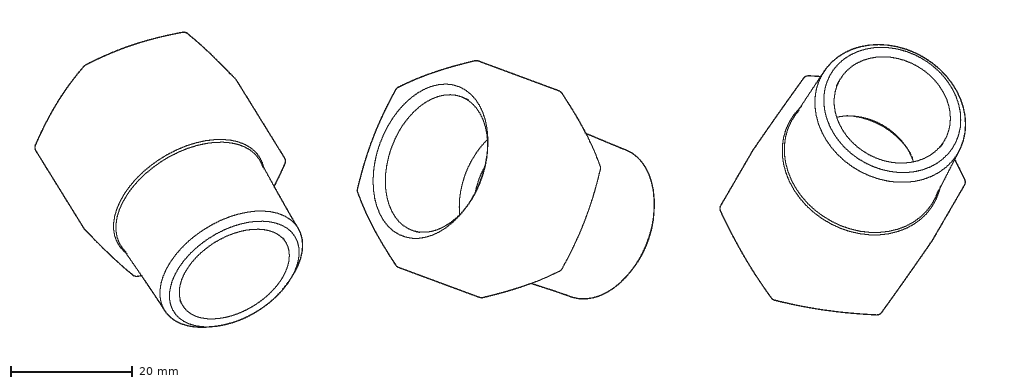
import cadquery as cq
import math

total_length = 41.0
hex_length = 23.0

hex_across_flats = 32.0
edge_radius = 1.0
end_face_radius = 14.95
end_chamfer_angle = 20.0
envelope_clearance = 0.4
seam_angle = 15.0

thread_taper = 1 / 32
spigot_root_radius = 13.5
spigot_tip_chamfer = 1.2
root_flare_length = 0.4
root_flare_angle = 30.0

bore_mouth_radius = 13.2
bore_start_radius = 11.75
bore_end_depth = 18.45
seat_cone_angle = 30.0
through_hole_radius = 10.0


def tangent(degrees):
    return math.tan(math.radians(degrees))


def revolve_about_x(points):
    """Revolve a closed (x, radius) outline about the X axis."""
    return cq.Workplane("XY").polyline(points).close().revolve(360, (0, 0, 0), (1, 0, 0))


def make_nut():
    """Hexagonal bar with cone-chamfered ends and rounded edges."""
    across_corners = hex_across_flats / math.cos(math.radians(30))
    bar = cq.Workplane("YZ").polygon(6, across_corners).extrude(hex_length)

    cone_radius = across_corners / 2 + envelope_clearance
    cone_length = (cone_radius - end_face_radius) * tangent(end_chamfer_angle)
    envelope = revolve_about_x([
        (0, 0),
        (0, end_face_radius),
        (cone_length, cone_radius),
        (hex_length - cone_length, cone_radius),
        (hex_length, end_face_radius),
        (hex_length, 0),
    ]).rotate((0, 0, 0), (1, 0, 0), seam_angle)

    return bar.intersect(envelope).edges().fillet(edge_radius)


def make_spigot():
    """Tapered spigot with a flared root and a chamfered tip, rooted inside the nut."""
    flare_radius = spigot_root_radius + root_flare_length * tangent(root_flare_angle)
    taper_start = hex_length + root_flare_length
    taper_end = total_length - spigot_tip_chamfer
    taper_end_radius = spigot_root_radius - (taper_end - taper_start) * thread_taper
    return revolve_about_x([
        (hex_length / 2, 0),
        (hex_length / 2, spigot_root_radius),
        (hex_length, flare_radius),
        (taper_start, spigot_root_radius),
        (taper_end, taper_end_radius),
        (total_length, taper_end_radius - spigot_tip_chamfer),
        (total_length, 0),
    ])


def make_bore():
    """Countersunk tapered bore, conical seat and through hole."""
    mouth_depth = bore_mouth_radius - bore_start_radius
    bore_end_radius = bore_start_radius - (bore_end_depth - mouth_depth) * thread_taper
    seat_length = (bore_end_radius - through_hole_radius) / tangent(seat_cone_angle)
    return revolve_about_x([
        (0, 0),
        (0, bore_mouth_radius),
        (mouth_depth, bore_start_radius),
        (bore_end_depth, bore_end_radius),
        (bore_end_depth + seat_length, through_hole_radius),
        (total_length, through_hole_radius),
        (total_length, 0),
    ])


result = make_nut().union(make_spigot()).cut(make_bore())